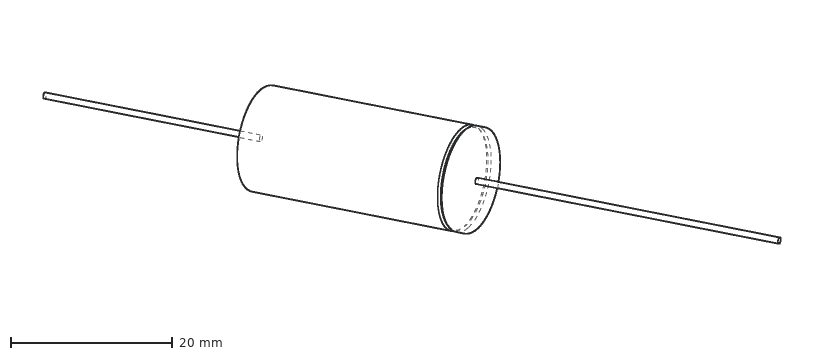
import cadquery as cq

total_length = 102.0
body_diameter = 13.5
body_length = 30.0
left_lead_length = 30.0
lead_diameter = 0.8
end_fillet = 0.3

groove_width = 0.6
groove_depth = 0.25
groove_end_offset = 1.7

body_radius = body_diameter / 2
body_start = left_lead_length - total_length / 2
body_end = body_start + body_length


def x_cylinder(start, length, diameter):
    """Cylinder centred on the X axis, beginning at X = start."""
    return cq.Workplane("YZ").workplane(offset=start).circle(diameter / 2).extrude(length)


def groove_ring():
    """Ring of material removed by the groove, revolved about the X axis."""
    center = body_end - groove_end_offset
    half_width = groove_width / 2
    return (
        cq.Workplane("XY")
        .moveTo(center - half_width, body_radius)
        .lineTo(center, body_radius - groove_depth)
        .lineTo(center + half_width, body_radius)
        .lineTo(center + half_width, body_diameter)
        .lineTo(center - half_width, body_diameter)
        .close()
        .revolve(360, (0, 0, 0), (1, 0, 0))
    )


can = x_cylinder(body_start, body_length, body_diameter).edges().fillet(end_fillet)
can = can.cut(groove_ring())

wire = x_cylinder(-total_length / 2, total_length, lead_diameter)

result = can.union(wire)